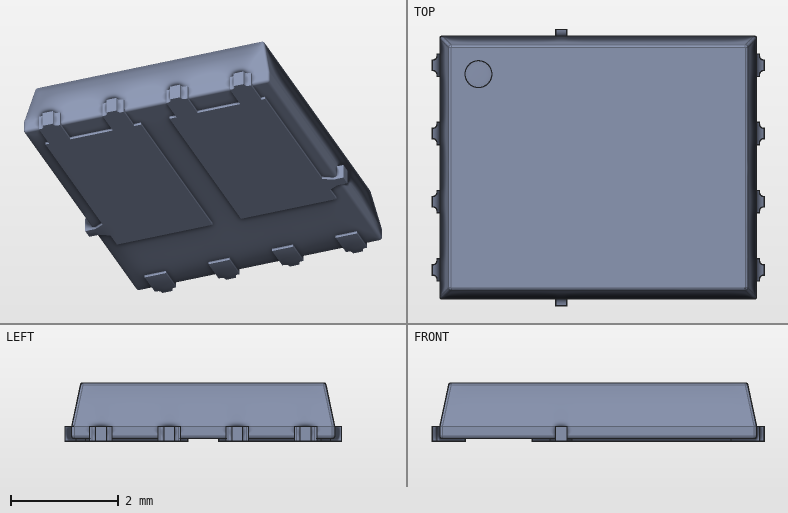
import cadquery as cq
import math

overall_length = 6.19
overall_width = 5.15
overall_height = 1.09

body_length = 5.90
body_width = 4.90
standoff = 0.05
metal_thickness = 0.28
draft_angle = 12.0
edge_radius = 0.05
rim_radius = 0.05

mark_diameter = 0.5
mark_depth = 0.01
mark_x = -2.23
mark_y = 1.74

leads_per_side = 4
lead_pitch = 1.27
lead_width = 0.42
tip_width = 0.20
tip_length = 0.09
tip_fillet_radius = 0.07
lead_length = 0.62

pad_gap = 0.57
pad_outer_y = 2.19
pad_left_x = -1.23
pad_right_x = overall_length / 2 - lead_length
tie_bar_x = -0.69
tie_bar_width = 0.21
flare_width = 0.10
flare_length = 0.18


def make_body():
    lower_height = metal_thickness - standoff
    upper_height = overall_height - metal_thickness
    inset = upper_height * math.tan(math.radians(draft_angle))
    lower = (
        cq.Workplane("XY", origin=(0, 0, standoff))
        .rect(body_length, body_width)
        .extrude(lower_height)
    )
    upper = (
        cq.Workplane("XY", origin=(0, 0, metal_thickness))
        .rect(body_length, body_width)
        .workplane(offset=upper_height)
        .rect(body_length - 2 * inset, body_width - 2 * inset)
        .loft(ruled=True)
    )
    body = lower.union(upper).edges("not #Z").fillet(edge_radius)
    return body.faces("<Z or >Z").edges().fillet(rim_radius)


def make_lead(side, y):
    """One lead with a narrowed tip; side is -1 for the -X row and +1 for the +X row."""
    tip_x = overall_length / 2
    shoulder_x = tip_x - tip_length
    root_x = tip_x - lead_length
    half_width = lead_width / 2
    half_tip = tip_width / 2
    radius = tip_fillet_radius
    bulge = radius * (1 - math.sqrt(0.5))
    lead = (
        cq.Workplane("XY")
        .moveTo(root_x, -half_width)
        .lineTo(shoulder_x, -half_width)
        .lineTo(shoulder_x, -half_tip - radius)
        .threePointArc((shoulder_x + bulge, -half_tip - bulge), (shoulder_x + radius, -half_tip))
        .lineTo(tip_x, -half_tip)
        .lineTo(tip_x, half_tip)
        .lineTo(shoulder_x + radius, half_tip)
        .threePointArc((shoulder_x + bulge, half_tip + bulge), (shoulder_x, half_tip + radius))
        .lineTo(shoulder_x, half_width)
        .lineTo(root_x, half_width)
        .close()
        .extrude(metal_thickness)
    )
    if side < 0:
        lead = lead.mirror("YZ")
    return lead.translate((0, y, 0))


def make_pad():
    """The +Y die pad with its tie bar, flared at the root."""
    bar_left = tie_bar_x - tie_bar_width / 2
    bar_right = tie_bar_x + tie_bar_width / 2
    flare_end_y = pad_outer_y + flare_length
    return (
        cq.Workplane("XY")
        .polyline([
            (pad_left_x, pad_gap / 2),
            (pad_right_x, pad_gap / 2),
            (pad_right_x, pad_outer_y),
            (bar_right + flare_width, pad_outer_y),
            (bar_right, flare_end_y),
            (bar_right, overall_width / 2),
            (bar_left, overall_width / 2),
            (bar_left, flare_end_y),
            (bar_left - flare_width, pad_outer_y),
            (pad_left_x, pad_outer_y),
        ])
        .close()
        .extrude(metal_thickness)
    )


def make_pin_mark():
    return (
        cq.Workplane("XY", origin=(mark_x, mark_y, overall_height - mark_depth))
        .circle(mark_diameter / 2)
        .extrude(2 * mark_depth)
    )


result = make_body().cut(make_pin_mark())

for index in range(leads_per_side):
    lead_y = (index - (leads_per_side - 1) / 2) * lead_pitch
    for row_side in (-1, 1):
        result = result.union(make_lead(row_side, lead_y))

pad = make_pad()
result = result.union(pad).union(pad.mirror("XZ"))